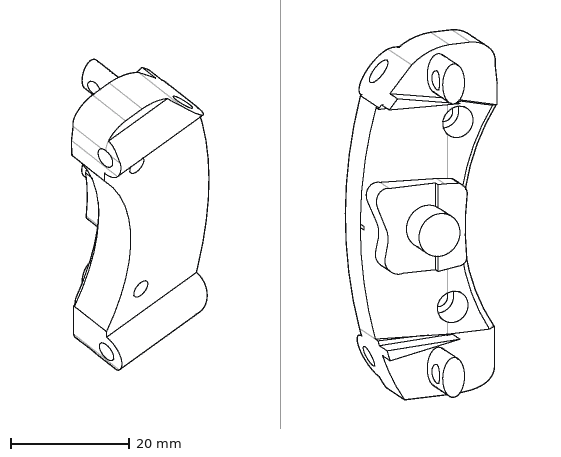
import cadquery as cq
import math

pad_step_x = 4.3
pad_x = 5.4
rib_x = 5.05
peg_x = 1.7
plate_x = 7.45
end_face_x = 8.4
chamfer_base_x = 8.65
back_x = 16.5

arc_center_y = -29.05
arc_center_z = 30.25
arc_radius = 35.25
arc_start = -33.0
arc_end = 34.3

body_width = 24.5
body_height = 61.7
outer_mid_z = 30.85
plate_bottom_z = 11.0
plate_top_z = 51.8
plate_bend_y = 7.0
plate_top_outer_y = 21.7
plate_bottom_outer_y = 21.9
slope_start_y = 9.5
slope_end_x = 10.0

lug_diameter = 7.5
lug_hole_diameter = 3.5
lug_heights = (5.85, 55.9)
peg_y = 10.85
peg_width = 4.0
peg_height = 7.05
peg_heights = (5.05, 56.85)
peg_hole_x = 4.75
small_hole_diameter = 3.3
counterbore_diameter = 5.5
counterbore_depth = 6.2
counterbore_centers = ((7.6, 48.2), (8.5, 15.7))
pin_diameter = 7.5
pin_y = 14.2
pin_z = 31.05
pad_step_y = 12.65


def yz_plane(x):
    """Sketch plane at a given X, with local axes Y and Z."""
    return cq.Workplane("YZ", origin=(x, 0, 0))


def y_cylinder(x, z, diameter):
    """Cylinder along Y through the whole body."""
    plane = cq.Workplane("XZ", origin=(x, 0, z))
    return plane.circle(diameter / 2).extrude(-body_width)


def x_box(x0, x1, y0, y1):
    """Box of full body height between X and Y limits."""
    return cq.Workplane("XY").box(x1 - x0, y1 - y0, body_height, centered=False).translate((x0, y0, 0))


def inner_point(angle):
    """Point on the concave edge at an angle in degrees."""
    radians = math.radians(angle)
    return (arc_center_y + arc_radius * math.cos(radians), arc_center_z + arc_radius * math.sin(radians))


inner_bottom = inner_point(arc_start)
inner_middle = inner_point((arc_start + arc_end) / 2)
inner_top = inner_point(arc_end)


def outline_prism(x0, x1):
    """Full crescent outline extruded between two X stations."""
    profile = (
        yz_plane(x0)
        .moveTo(*inner_bottom)
        .threePointArc(inner_middle, inner_top)
        .lineTo(0, 53.95)
        .lineTo(0.4, 57.25)
        .spline([(1.05, 59.85), (2.6, 61.1), (4.95, body_height)], includeCurrent=True)
        .lineTo(8.8, body_height)
        .threePointArc((12.5, 60.9), (15.75, 58.95))
        .lineTo(plate_top_outer_y, plate_top_z + 0.25)
        .threePointArc((body_width, outer_mid_z), (plate_bottom_outer_y, plate_bottom_z))
        .threePointArc((19.95, 5.3), (17.05, 0))
        .lineTo(7.35, 0)
        .spline([(4.0, 0.5), (1.4, 1.85), (inner_bottom[0], 3.75)], includeCurrent=True)
        .close()
    )
    return profile.extrude(x1 - x0)


def center_zone(x0, x1):
    """Region between the two end blocks."""
    points = [
        (0, plate_bottom_z),
        (body_width, plate_bottom_z),
        (body_width, plate_top_z),
        (plate_bend_y, plate_top_z),
        inner_top,
    ]
    return yz_plane(x0).polyline(points).close().extrude(x1 - x0)


def chamfer_cutter():
    """Cone, coaxial with the concave edge, that chamfers it at 45 degrees."""
    depth = chamfer_base_x - plate_x
    base = yz_plane(plate_x).center(arc_center_y, arc_center_z)
    return base.circle(arc_radius + depth).extrude(depth, taper=45)


def central_plate():
    """Raised plate with its rear half sloping back and its concave edge chamfered."""
    plate = outline_prism(plate_x, back_x).intersect(center_zone(plate_x, back_x))
    slope = (
        cq.Workplane("XY")
        .polyline([(plate_x, slope_start_y), (plate_x, body_width), (slope_end_x, body_width)])
        .close()
        .extrude(body_height)
    )
    return plate.cut(slope).cut(chamfer_cutter())


def end_blocks():
    """Flat-faced blocks above and below the plate."""
    return outline_prism(end_face_x, back_x).cut(center_zone(end_face_x, back_x))


def lugs():
    """Round lugs along Y at the rear, trimmed to the body outline."""
    trim = outline_prism(end_face_x, back_x + lug_diameter)
    cylinders = cq.Workplane("XY")
    for z in lug_heights:
        cylinders = cylinders.add(y_cylinder(back_x, z, lug_diameter))
    return cylinders.combine().intersect(trim)


def pegs():
    """Elliptical pegs on the end blocks."""
    centers = [(peg_y, z) for z in peg_heights]
    return (
        yz_plane(peg_x)
        .pushPoints(centers)
        .ellipse(peg_width / 2, peg_height / 2)
        .extrude(end_face_x - peg_x)
    )


def ribs():
    """Wedge ribs beside the plate; the outer ends follow the body outline."""
    upper = [(8.25, 52.15), (22.7, 52.6), (21.6, 54.7)]
    lower = [(8.25, 10.6), (22.85, 10.05), (22.85, 7.95)]
    wedges = cq.Workplane("XY")
    for points in (upper, lower):
        wedges = wedges.add(yz_plane(rib_x).polyline(points).close().extrude(slope_end_x - rib_x))
    return wedges.combine().intersect(outline_prism(rib_x, slope_end_x))


def center_pad():
    """Waisted pad with a raised front part and a round pin."""
    pad = (
        yz_plane(pad_step_x)
        .moveTo(21.1, 38.55)
        .lineTo(11.4, 38.55)
        .lineTo(8.8, 38.4)
        .threePointArc((7.8, 37.65), (7.2, 36.5))
        .threePointArc((7.6, 30.85), (7.35, 25.3))
        .threePointArc((7.6, 24.4), (8.45, 23.8))
        .lineTo(12.5, 23.25)
        .lineTo(18.5, 23.3)
        .spline(
            [(20.75, 23.75), (21.85, 25.3), (21.7, 27.15), (21.35, 30.2), (22.0, 32.4),
             (23.15, 35.0), (23.45, 36.85), (22.8, 38.15), (21.1, 38.55)],
            includeCurrent=True,
        )
        .close()
        .extrude(slope_end_x - pad_step_x)
    )
    pad = pad.cut(x_box(pad_step_x, pad_x, pad_step_y, body_width))
    pin = yz_plane(0).center(pin_y, pin_z).circle(pin_diameter / 2).extrude(plate_x)
    return pad.union(pin)


result = central_plate()
for feature in (end_blocks(), lugs(), pegs(), ribs(), center_pad()):
    result = result.union(feature)

for height in lug_heights:
    result = result.cut(y_cylinder(back_x, height, lug_hole_diameter))
for height in peg_heights:
    result = result.cut(y_cylinder(peg_hole_x, height, small_hole_diameter))

through = (
    yz_plane(plate_x)
    .pushPoints(counterbore_centers)
    .circle(small_hole_diameter / 2)
    .extrude(back_x - plate_x)
)
counterbores = (
    yz_plane(plate_x)
    .pushPoints(counterbore_centers)
    .circle(counterbore_diameter / 2)
    .extrude(counterbore_depth)
)
result = result.cut(through).cut(counterbores)